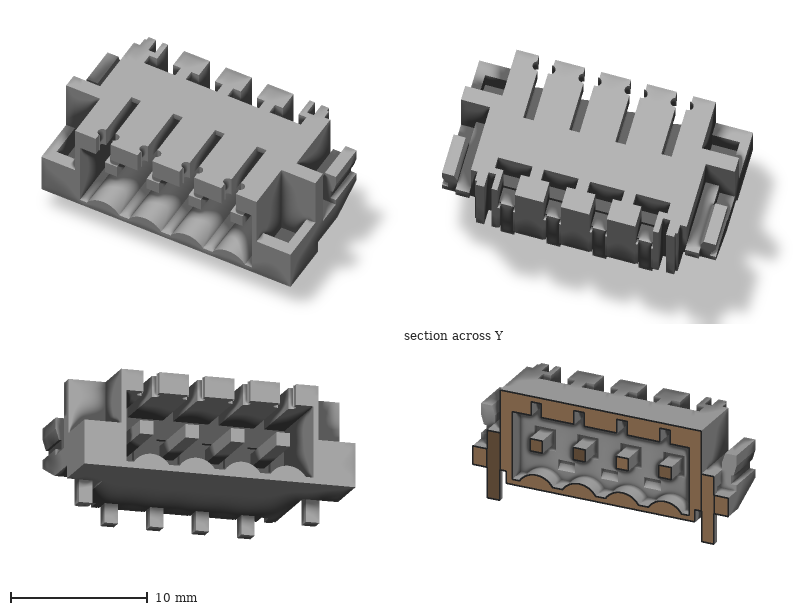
import cadquery as cq


WIDTH = 20.85
DEPTH = 11.05
HEIGHT = 7.46
TAIL = 1.48
EPS = 0.2

PITCH = 3.5
CONTACTS = 4
PIN = 1.02
PIN_Z = 3.52
PIN_TIP = 1.19
PIN_BACK = 10.68

SHOULDER_HALF = 7.71
SHOULDER_BACK = 10.74
BACK_HALF = 7.55
CAVITY_HALF = 7.2
CAVITY_FLOOR = 0.45
CAVITY_ROOF = 5.88
CAVITY_BACK = 7.0
ARCH_HEIGHT = 0.73
ARCH_HALF = 1.35

SEAT = 1.75
SEAT_DEPTH = 0.4
WEDGE_WIDTH = 1.4
WEDGE_BOTTOM = 1.2
WEDGE_MIDDLE = 1.6
WEDGE_TOP = 2.05
WEDGE_DEPTH = 0.4

SLOT_WIDTH = 0.8
SLOT_BACK = 5.02
SLOT_LIP = 0.48
MOUTH_WIDTH = 1.23
EYE_WIDTH = 1.73
EYE_FRONT = 0.48
EYE_BACK = 1.17

T_BAR_WIDTH = 2.63
T_BAR_FRONT = 8.55
T_BAR_BACK = 9.4
T_BAR_FLOOR = 4.42
T_STEM_WIDTH = 1.33
T_LEDGE_STEP = 10.55
T_LEDGE_DROP = 0.2
T_LEDGE_BACK = 10.99

NOTCH_OUTER = 6.92
NOTCH_INNER = 6.35
NOTCH_FRONT = 9.86

BOX_HEIGHT = 3.35
BOX_BACK = 3.77
BOX_INNER = 7.59
BOX_SIDE_WALL = 0.73
BOX_FRONT_WALL = 1.0
BOX_FLOOR = 1.45
FLANGE_BACK = 4.9
WING_BACK = 10.03
WING_RELIEF_FRONT = 4.2
WING_UNDERSIDE = 0.98
WING_SLOPE_START = 7.13
WING_SLOPE_END_Z = 2.3
NOTCHED_TOP = 2.5

HOOK_FRONT = 6.88
HOOK_TOP = 5.35
HOOK_NOSE = 4.5
HOOK_BARB = 3.7
HOOK_LEAD_IN = 4.63
HOOK_TOP_WIDTH = 0.92
BARB_SETBACK = 0.25
STEM_SETBACK = 0.45

TAB = 1.05
TAB_X = 8.74
TAB_TOP = 4.0
TAB_FRONT = 4.96
TAB_BACK = 10.49

HALF = WIDTH / 2
PIN_TOP = PIN_Z + PIN / 2
PIN_BOTTOM = PIN_Z - PIN / 2
PIN_LEG_FRONT = PIN_BACK - PIN
CONTACT_X = [(i - (CONTACTS - 1) / 2) * PITCH for i in range(CONTACTS)]
GAP_X = [x + PITCH / 2 for x in CONTACT_X[:-1]]
TAB_OUTER = TAB_X + TAB / 2
TAB_BOTTOM = TAB_TOP - TAB
WING_TOP = TAB_BOTTOM
BODY_HALF = TAB_X - TAB / 2


def block(x0, x1, y0, y1, z0, z1):
    """Box between two opposite corners."""
    return cq.Workplane("XY").box(x1 - x0, y1 - y0, z1 - z0, centered=False).translate((x0, y0, z0))


def centred_block(x, width, y0, y1, z0, z1):
    """Box of the given width, centred on x."""
    return block(x - width / 2, x + width / 2, y0, y1, z0, z1)


def extrude_along_x(points, x0, x1):
    """Prism with a (y, z) outline between two x positions."""
    return cq.Workplane("YZ").polyline(points).close().extrude(x1 - x0).translate((x0, 0, 0))


def extrude_along_y(points, y0, y1):
    """Prism with an (x, z) outline between two y positions."""
    return cq.Workplane("XZ").polyline(points).close().extrude(y0 - y1).translate((0, y0, 0))


def mirrored(shape):
    """A shape of the +X side joined with its mirror image on the -X side."""
    return shape.union(shape.mirror("YZ"))


def body_shell():
    front = block(-BOX_INNER, BOX_INNER, 0, BOX_BACK, 0, HEIGHT)
    middle = block(-BODY_HALF, BODY_HALF, BOX_BACK, WING_BACK, 0, HEIGHT)
    shoulder = block(-SHOULDER_HALF, SHOULDER_HALF, BOX_BACK, SHOULDER_BACK, 0, HEIGHT)
    back = block(-BACK_HALF, BACK_HALF, SHOULDER_BACK, DEPTH, 0, HEIGHT)
    return front.union(middle).union(shoulder).union(back)


def wing():
    """Front box, full-height flange and rear carrier of the +X side."""
    front_box = block(BOX_INNER, HALF, 0, BOX_BACK, 0, BOX_HEIGHT)
    flange = block(BOX_INNER, HALF, BOX_BACK, FLANGE_BACK, 0, HEIGHT)
    carrier = block(BOX_INNER, HALF, FLANGE_BACK, WING_BACK, 0, WING_TOP)
    carrier_step = block(BODY_HALF, HALF, FLANGE_BACK, HOOK_FRONT, NOTCHED_TOP, WING_TOP)
    return front_box.union(flange).union(carrier).cut(carrier_step)


def wing_underside():
    """Cutter below the rear of the +X wing, sloping up towards the back."""
    return extrude_along_x(
        [
            (WING_RELIEF_FRONT, -EPS),
            (WING_RELIEF_FRONT, WING_UNDERSIDE),
            (WING_SLOPE_START, WING_UNDERSIDE),
            (WING_BACK, WING_SLOPE_END_Z),
            (WING_BACK, -EPS),
        ],
        SHOULDER_HALF,
        HALF + EPS,
    )


def hook():
    """Latch that rises outside the solder tab of the +X side."""
    outline = [
        (TAB_OUTER, WING_TOP),
        (TAB_OUTER, HOOK_LEAD_IN),
        (HALF - HOOK_TOP_WIDTH, HOOK_TOP),
        (HALF, HOOK_TOP),
        (HALF, HOOK_NOSE),
        (HALF - BARB_SETBACK, HOOK_BARB),
        (HALF - STEM_SETBACK, HOOK_BARB),
        (HALF - STEM_SETBACK, WING_TOP),
    ]
    return extrude_along_y(outline, HOOK_FRONT, WING_BACK)


def wing_pockets():
    """Cutters of the +X side: space above the front box, its pocket and the post slot."""
    above_box = block(BOX_INNER, HALF, -EPS, BOX_BACK, BOX_HEIGHT, HEIGHT + EPS)
    pocket = block(BOX_INNER, HALF - BOX_SIDE_WALL, BOX_FRONT_WALL, BOX_BACK, BOX_FLOOR, BOX_HEIGHT)
    notch = block(NOTCH_INNER, NOTCH_OUTER, NOTCH_FRONT, DEPTH + EPS, -EPS, HEIGHT + EPS)
    return above_box.union(pocket).union(notch)


def plug_cavity():
    """Open-fronted cavity with an arched rib below each contact."""
    cavity = block(-CAVITY_HALF, CAVITY_HALF, -EPS, CAVITY_BACK, CAVITY_FLOOR, CAVITY_ROOF)
    for x in CONTACT_X:
        rib = (
            cq.Workplane("XZ")
            .moveTo(x - ARCH_HALF, CAVITY_FLOOR)
            .threePointArc((x, CAVITY_FLOOR + ARCH_HEIGHT), (x + ARCH_HALF, CAVITY_FLOOR))
            .close()
            .extrude(-CAVITY_BACK - EPS)
            .translate((0, -EPS, 0))
        )
        cavity = cavity.cut(rib)
    return cavity


def key_slot(x):
    """Roof slot with a mouth and a round-ended eye, continued below the roof skin."""
    top = HEIGHT + EPS
    slot = centred_block(x, SLOT_WIDTH, -EPS, SLOT_BACK, CAVITY_ROOF, top)
    under_skin = centred_block(x, SLOT_WIDTH, SLOT_BACK, CAVITY_BACK, CAVITY_ROOF, HEIGHT - SLOT_LIP)
    mouth = centred_block(x, MOUTH_WIDTH, -EPS, EYE_FRONT, CAVITY_ROOF, top)
    eye = (
        cq.Workplane("XY")
        .center(x, (EYE_FRONT + EYE_BACK) / 2)
        .slot2D(EYE_WIDTH, EYE_BACK - EYE_FRONT)
        .extrude(top - CAVITY_ROOF)
        .translate((0, 0, CAVITY_ROOF))
    )
    return slot.union(under_skin).union(mouth).union(eye)


def wedge_pocket(x):
    """Pocket in the cavity's back wall with a sloping bottom."""
    outline = [
        (CAVITY_BACK, WEDGE_BOTTOM),
        (CAVITY_BACK + WEDGE_DEPTH, WEDGE_MIDDLE),
        (CAVITY_BACK + WEDGE_DEPTH, WEDGE_TOP),
        (CAVITY_BACK, WEDGE_TOP),
    ]
    return extrude_along_x(outline, x - WEDGE_WIDTH / 2, x + WEDGE_WIDTH / 2)


def pin_seat(x):
    """Square recess around the pin in the cavity's back wall."""
    return centred_block(
        x, SEAT, CAVITY_BACK, CAVITY_BACK + SEAT_DEPTH, PIN_Z - SEAT / 2, PIN_Z + SEAT / 2
    )


def pin_passage(x):
    """Hole for the pin's level leg and a channel, open to the back, for its upright leg."""
    hole = centred_block(x, PIN, CAVITY_BACK, PIN_BACK, PIN_BOTTOM, PIN_TOP)
    channel = centred_block(x, PIN, PIN_LEG_FRONT, DEPTH + EPS, -EPS, PIN_TOP)
    return hole.union(channel)


def t_pocket(x):
    """T-shaped pocket above the pin; its stem is stepped and opens to the back."""
    top = HEIGHT + EPS
    ledge = PIN_TOP
    low_ledge = ledge - T_LEDGE_DROP
    bar = centred_block(x, T_BAR_WIDTH, T_BAR_FRONT, T_BAR_BACK, T_BAR_FLOOR, top)
    stem = centred_block(x, T_STEM_WIDTH, T_BAR_BACK, DEPTH + EPS, ledge, top)
    step = centred_block(x, T_STEM_WIDTH, T_LEDGE_STEP, DEPTH + EPS, low_ledge, ledge)
    rear_face = centred_block(x, T_STEM_WIDTH, T_LEDGE_BACK, DEPTH + EPS, -EPS, low_ledge)
    return bar.union(stem).union(step).union(rear_face)


def make_housing():
    housing = body_shell().union(mirrored(wing())).union(mirrored(hook()))
    housing = housing.cut(mirrored(wing_pockets())).cut(mirrored(wing_underside())).cut(plug_cavity())
    for x in CONTACT_X:
        for cutter in (key_slot(x), pin_seat(x), pin_passage(x), t_pocket(x)):
            housing = housing.cut(cutter)
    for x in GAP_X:
        housing = housing.cut(wedge_pocket(x))
    for x in (-TAB_X, TAB_X):
        housing = housing.cut(make_solder_tab(x))
    return housing


def make_contact_pin(x):
    level_leg = centred_block(x, PIN, PIN_TIP, PIN_BACK, PIN_BOTTOM, PIN_TOP)
    upright_leg = centred_block(x, PIN, PIN_LEG_FRONT, PIN_BACK, -TAIL, PIN_TOP)
    return level_leg.union(upright_leg)


def make_solder_tab(x):
    level_leg = centred_block(x, TAB, TAB_FRONT, TAB_BACK, TAB_BOTTOM, TAB_TOP)
    upright_leg = centred_block(x, TAB, TAB_FRONT, TAB_FRONT + TAB, -TAIL, TAB_TOP)
    return level_leg.union(upright_leg)


housing = make_housing()
contact_pins = [make_contact_pin(x) for x in CONTACT_X]
solder_tabs = [make_solder_tab(x) for x in (-TAB_X, TAB_X)]

result = cq.Compound.makeCompound(
    [
        housing.solids().val(),
        *[pin.solids().val() for pin in contact_pins],
        *[tab.solids().val() for tab in solder_tabs],
    ]
)